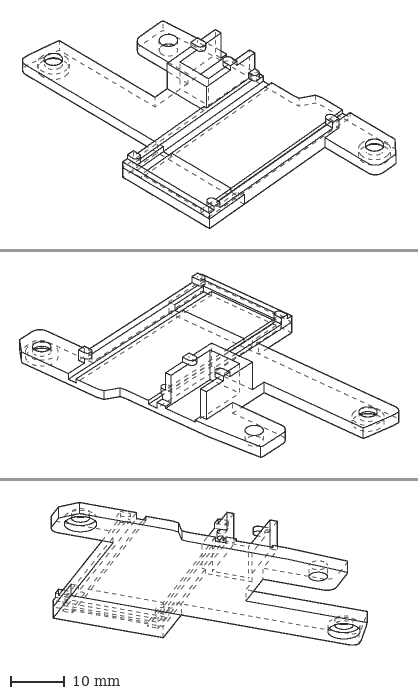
import cadquery as cq


PLATE_TOP = 2.35
PANEL_FLOOR = 1.95
GROOVE_FLOOR = 1.1
RAIL_TOP = 3.35
FRONT_WALL_TOP = 3.75
TRAY_TAB_TOP = 4.65
HOUSING_TOP = 8.5
HOUSING_TAB_TOP = 9.5

TRAY_WIDTH = 21.85
RAIL_WIDTH = 1.45
RAIL_BACK = 35.5
FRONT_WALL_DEPTH = 1.25
LEFT_GROOVE_WIDTH = 2.1
RIGHT_GROOVE_WIDTH = 1.9
PANEL_LEFT = RAIL_WIDTH
PANEL_RIGHT = TRAY_WIDTH - RAIL_WIDTH
SEAM_Y = 9.5

SHELF_BACK = 37.0
PLATE_BACK = 40.1
BACK_STEP_RIGHT = 13.4
BACK_STEP_TOP = (11.95, 39.85)
BACK_STEP_BOTTOM = (10.3, 37.1)
BACK_STEP_LEFT = 9.05
ARM_LEFT = -34.85
ARM_BACK = 18.9
ARM_BACK_LEFT = -33.3
ARM_END_UPPER = (-33.6, 17.8)
ARM_END_LOWER = (-34.7, 12.2)
ARM_CORNER_START = (ARM_LEFT, 10.6)
ARM_CORNER_END = (-33.1, SEAM_Y)
ARM_CORNER_RADIUS = 1.95
LEFT_LUG_LEFT = -23.1
LEFT_LUG_FRONT = 27.95
LEFT_LUG_SLANT_START = -10.8
LEFT_LUG_BACK_CORNER = (-22.95, 36.1)
LEFT_LUG_END_BACK = 35.2
LEFT_LUG_END_RADIUS = 3.0
RIGHT_LUG_RIGHT = 34.7
RIGHT_LUG_FRONT = 31.65
RIGHT_LUG_CHAMFER = 3.0
LUG_RADIUS = 1.95

HOLE_DIAMETER = 3.4
ARM_HOLE = (-30.45, 14.2)
LEFT_LUG_HOLE = (-18.4, 32.6)
RIGHT_LUG_HOLE = (30.05, 36.3)
COUNTERBORE_DIAMETER = 6.0
COUNTERBORE_DEPTH = 1.3

HOUSING_LEFT = -9.25
HOUSING_RIGHT = 0.7
HOUSING_FRONT = 22.25
HOUSING_BACK = RAIL_BACK
POCKET_LEFT = -7.8
POCKET_RIGHT = -0.6
POCKET_FRONT = 24.2

TRAY_TAB_WIDTH = 1.7
TRAY_TAB_REACH = 2.3
FRONT_TAB_Y = FRONT_WALL_DEPTH + TRAY_TAB_WIDTH / 2
BACK_TAB_Y = RAIL_BACK - TRAY_TAB_WIDTH / 2
HOUSING_TAB_WIDTH = 1.9
HOUSING_TAB_Y = 29.7
HOUSING_TAB_OVERHANG = 1.1


def block(x0, x1, y0, y1, z0, z1):
    """Box between two opposite corners."""
    return cq.Workplane("XY").box(x1 - x0, y1 - y0, z1 - z0, centered=False).translate((x0, y0, z0))


def tab(x_root, x_tip, y, width, z0, z1):
    """Flat finger from a square root to a half-round tip."""
    radius = width / 2
    toward_root = 1 if x_root > x_tip else -1
    x_round = x_tip + toward_root * radius
    return (
        cq.Workplane("XY", origin=(0, 0, z0))
        .moveTo(x_root, y - radius)
        .lineTo(x_round, y - radius)
        .threePointArc((x_tip, y), (x_round, y + radius))
        .lineTo(x_root, y + radius)
        .close()
        .extrude(z1 - z0)
    )


def plate_blank():
    """Plate with one arm and two lugs, before the recesses are cut."""
    blank = (
        cq.Workplane("XY")
        .moveTo(TRAY_WIDTH, SEAM_Y)
        .lineTo(TRAY_WIDTH, RIGHT_LUG_FRONT)
        .lineTo(RIGHT_LUG_RIGHT, RIGHT_LUG_FRONT)
        .lineTo(RIGHT_LUG_RIGHT, PLATE_BACK - RIGHT_LUG_CHAMFER)
        .lineTo(RIGHT_LUG_RIGHT - RIGHT_LUG_CHAMFER, PLATE_BACK)
        .lineTo(BACK_STEP_RIGHT, PLATE_BACK)
        .lineTo(*BACK_STEP_TOP)
        .lineTo(*BACK_STEP_BOTTOM)
        .lineTo(BACK_STEP_LEFT, SHELF_BACK)
        .lineTo(LEFT_LUG_SLANT_START, SHELF_BACK)
        .lineTo(*LEFT_LUG_BACK_CORNER)
        .radiusArc((LEFT_LUG_LEFT, LEFT_LUG_END_BACK), -LEFT_LUG_END_RADIUS)
        .lineTo(LEFT_LUG_LEFT, LEFT_LUG_FRONT)
        .lineTo(HOUSING_LEFT, LEFT_LUG_FRONT)
        .lineTo(HOUSING_LEFT, ARM_BACK)
        .lineTo(ARM_BACK_LEFT, ARM_BACK)
        .lineTo(*ARM_END_UPPER)
        .lineTo(*ARM_END_LOWER)
        .lineTo(*ARM_CORNER_START)
        .radiusArc(ARM_CORNER_END, -ARM_CORNER_RADIUS)
        .close()
        .extrude(PLATE_TOP)
    )
    for corner in [(LEFT_LUG_LEFT, LEFT_LUG_FRONT), (RIGHT_LUG_RIGHT, RIGHT_LUG_FRONT)]:
        nearest = cq.selectors.NearestToPointSelector((*corner, PLATE_TOP / 2))
        blank = blank.edges(nearest).fillet(LUG_RADIUS)
    return blank


def panel_recess():
    """Space above the panel and its two grooves, open at the back."""
    left_groove_end = PANEL_LEFT + LEFT_GROOVE_WIDTH
    right_groove_start = PANEL_RIGHT - RIGHT_GROOVE_WIDTH
    front = FRONT_WALL_DEPTH
    recess = block(PANEL_LEFT, PANEL_RIGHT, front, PLATE_BACK, PANEL_FLOOR, RAIL_TOP)
    recess = recess.union(block(PANEL_LEFT, left_groove_end, front, PLATE_BACK, GROOVE_FLOOR, RAIL_TOP))
    return recess.union(block(right_groove_start, PANEL_RIGHT, front, PLATE_BACK, GROOVE_FLOOR, RAIL_TOP))


def tray_frame():
    """Side rails, front wall and the four tabs on the rails."""
    frame = block(0, TRAY_WIDTH, 0, FRONT_WALL_DEPTH, PLATE_TOP, FRONT_WALL_TOP)
    frame = frame.union(block(0, RAIL_WIDTH, 0, RAIL_BACK, PLATE_TOP, RAIL_TOP))
    frame = frame.union(block(PANEL_RIGHT, TRAY_WIDTH, 0, RAIL_BACK, PLATE_TOP, RAIL_TOP))
    for y in (FRONT_TAB_Y, BACK_TAB_Y):
        frame = frame.union(tab(0, TRAY_TAB_REACH, y, TRAY_TAB_WIDTH, RAIL_TOP, TRAY_TAB_TOP))
        right_tip = TRAY_WIDTH - TRAY_TAB_REACH
        frame = frame.union(tab(TRAY_WIDTH, right_tip, y, TRAY_TAB_WIDTH, RAIL_TOP, TRAY_TAB_TOP))
    return frame


def housing_pocket():
    """Pocket level with the panel, running out through the back edge of the plate."""
    return block(POCKET_LEFT, POCKET_RIGHT, POCKET_FRONT, SHELF_BACK, PANEL_FLOOR, HOUSING_TOP)


def housing_tabs():
    """Two facing tabs on top of the housing's side walls."""
    left_tip = POCKET_LEFT + HOUSING_TAB_OVERHANG
    right_tip = POCKET_RIGHT - HOUSING_TAB_OVERHANG
    size = (HOUSING_TAB_Y, HOUSING_TAB_WIDTH, HOUSING_TOP, HOUSING_TAB_TOP)
    return tab(HOUSING_LEFT, left_tip, *size).union(tab(HOUSING_RIGHT, right_tip, *size))


def make_holder():
    """Plate with the tray frame and the housing."""
    holder = plate_blank().cut(panel_recess())
    holder = holder.union(tray_frame())
    holder = holder.union(
        block(HOUSING_LEFT, HOUSING_RIGHT, HOUSING_FRONT, HOUSING_BACK, 0, HOUSING_TOP)
    )
    holder = holder.cut(housing_pocket()).union(housing_tabs())
    hole_centers = [ARM_HOLE, LEFT_LUG_HOLE, RIGHT_LUG_HOLE]
    holes = cq.Workplane("XY").pushPoints(hole_centers).circle(HOLE_DIAMETER / 2).extrude(PLATE_TOP)
    bores = (
        cq.Workplane("XY")
        .pushPoints([ARM_HOLE, RIGHT_LUG_HOLE])
        .circle(COUNTERBORE_DIAMETER / 2)
        .extrude(COUNTERBORE_DEPTH)
    )
    return holder.cut(holes).cut(bores)


def make_front_slab():
    """Front end of the tray floor, under the overhanging rails and front wall."""
    return block(0, TRAY_WIDTH, 0, SEAM_Y, 0, PLATE_TOP).cut(panel_recess())


holder = make_holder()
front_slab = make_front_slab()

result = cq.Compound.makeCompound([holder.val(), front_slab.val()])